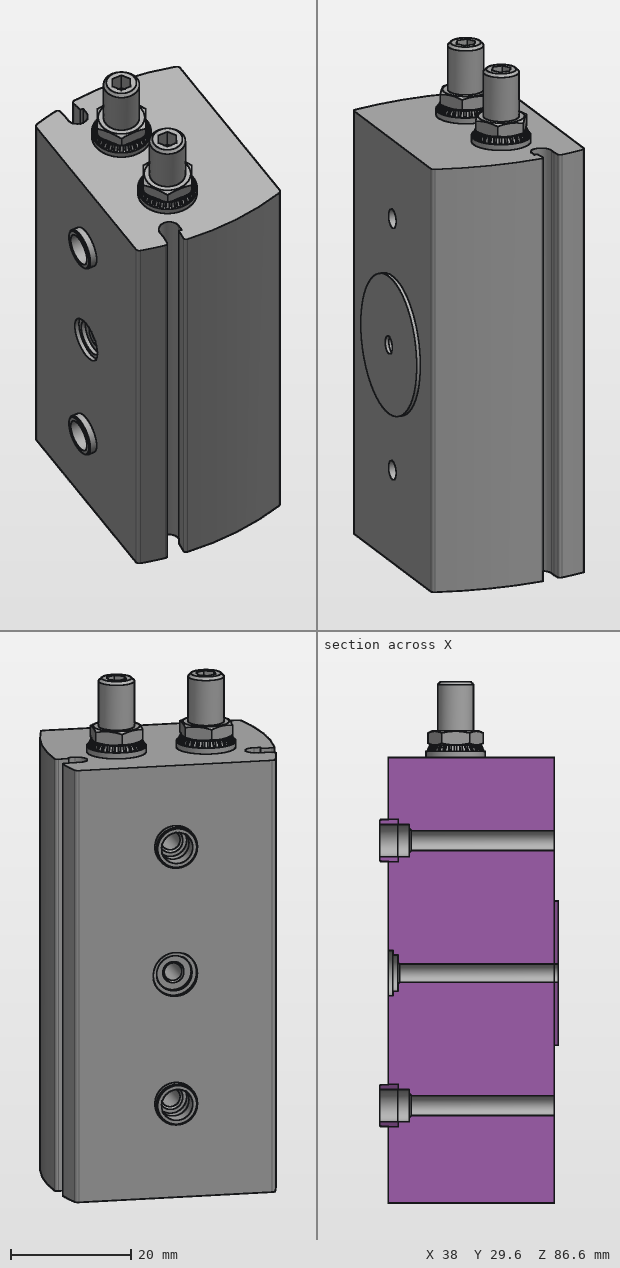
import cadquery as cq
import math


housing_length = 74.0
housing_depth = 27.6
housing_width = 37.97
side_radius = 46.8
edge_fillet = 0.7

slot_x = 15.2
slot_y = 7.15
slot_radius = 1.75
slot_neck_x = 16.3
slot_front_y = slot_y - slot_radius
slot_rear_y = slot_y + slot_radius
slot_rear_neck_y = 8.35
slot_rear_mouth_y = 7.9
slot_front_mouth_y = 5.05
slot_lip_fillet = 0.5
slot_lip_min_x = 17.5
slot_mouth_x = housing_width / 2 + 1.0

axis_z = 38.2
mount_spacing = 22.0
mount_z = (axis_z - mount_spacing, axis_z + mount_spacing)
mount_drill = 3.24
mount_chamfer_diameter = 4.0
mount_counterbore_depth = 3.5

axis_recess_diameter = 7.5
axis_recess_depth = 0.8
axis_step_diameter = 6.0
axis_step_depth = 1.6
axis_drill = 3.0
axis_chamfer_diameter = 3.6

sleeve_diameter = 7.0
sleeve_bore = 5.3
sleeve_length = 3.0
sleeve_protrusion = 1.4
sleeve_chamfer = 0.2

flange_diameter = 24.0
flange_thickness = 0.65

screw_spacing = 15.2
screw_y = 11.2
collar_diameter = 9.9
collar_height = 1.0
washer_base_diameter = 9.5
washer_top_diameter = 8.6
washer_height = 1.0
tooth_count = 30
tooth_gap_width = 0.4
tooth_gap_depth = 0.5
nut_across_flats = 8.0
nut_face_diameter = 7.7
nut_chamfer_height = 0.35
nut_height = 2.4
stud_diameter = 6.0
stud_chamfer = 0.5
stud_top = 12.6
socket_across_flats = 3.0
socket_depth = 3.0


def front_cylinder(diameter, start_y, end_y, z):
    """Cylinder along Y on the X = 0 plane."""
    return (
        cq.Workplane("XZ", origin=(0, start_y, z))
        .circle(diameter / 2)
        .extrude(start_y - end_y)
    )


def drill_with_chamfer(drill, chamfer_diameter, start_y, end_y, z):
    """Hole along Y whose front rim at start_y is countersunk at 45 degrees."""
    chamfer = (chamfer_diameter - drill) / 2
    profile = [
        (0, start_y),
        (chamfer_diameter / 2, start_y),
        (drill / 2, start_y + chamfer),
        (drill / 2, end_y),
        (0, end_y),
    ]
    return (
        cq.Workplane("XY")
        .polyline(profile)
        .close()
        .revolve(360, (0, 0, 0), (0, 1, 0))
        .translate((0, 0, z))
    )


def hexagonal_prism(across_flats, height, z):
    """Vertical hexagon with two corners on the Y direction."""
    corner_diameter = across_flats / math.cos(math.pi / 6)
    return (
        cq.Workplane("XY", origin=(0, 0, z))
        .transformed(rotate=(0, 0, 90))
        .polygon(6, corner_diameter)
        .extrude(height)
    )


def housing_block():
    half_width = housing_width / 2
    mid_y = housing_depth / 2
    side_sagitta = side_radius - math.sqrt(side_radius**2 - mid_y**2)
    corner_x = half_width - side_sagitta
    return (
        cq.Workplane("XY")
        .moveTo(-corner_x, 0)
        .lineTo(corner_x, 0)
        .threePointArc((half_width, mid_y), (corner_x, housing_depth))
        .lineTo(-corner_x, housing_depth)
        .threePointArc((-half_width, mid_y), (-corner_x, 0))
        .close()
        .extrude(housing_length)
        .edges("|Z")
        .fillet(edge_fillet)
    )


def sensor_slot():
    """Slot on the +X side."""
    return (
        cq.Workplane("XY")
        .moveTo(slot_x, slot_front_y)
        .threePointArc((slot_x - slot_radius, slot_y), (slot_x, slot_rear_y))
        .lineTo(slot_neck_x, slot_rear_y)
        .lineTo(slot_neck_x, slot_rear_neck_y)
        .lineTo(slot_mouth_x, slot_rear_mouth_y)
        .lineTo(slot_mouth_x, slot_front_mouth_y)
        .lineTo(slot_neck_x, slot_front_y)
        .close()
        .extrude(housing_length)
    )


def round_slot_lips(body, side):
    """Round the two outer edges of the slot mouth on one side of the housing."""
    lip_zone = cq.selectors.BoxSelector(
        (side * slot_lip_min_x, slot_front_y - slot_radius, 0),
        (side * slot_mouth_x, slot_rear_y + slot_radius, housing_length),
    )
    return body.edges("|Z").edges(lip_zone).fillet(slot_lip_fillet)


def toothed_washer(z):
    """Conical washer with radial gaps cut into its rim."""
    cone = cq.Workplane(
        cq.Solid.makeCone(washer_base_diameter / 2, washer_top_diameter / 2, washer_height)
    )
    gaps = (
        cq.Workplane("XY")
        .polarArray(washer_base_diameter / 2, 0, 360, tooth_count)
        .rect(2 * tooth_gap_depth, tooth_gap_width)
        .extrude(washer_height)
    )
    return cone.cut(gaps).translate((0, 0, z))


def nut(z):
    """Hexagon nut with the corners of both end faces chamfered."""
    corner_diameter = nut_across_flats / math.cos(math.pi / 6)
    crown = (
        cq.Workplane("XY", origin=(0, 0, z))
        .circle(corner_diameter / 2)
        .extrude(nut_height)
        .faces("<Z or >Z")
        .chamfer(nut_chamfer_height, (corner_diameter - nut_face_diameter) / 2)
    )
    return hexagonal_prism(nut_across_flats, nut_height, z).intersect(crown)


def stop_screw():
    """Stop screw standing on Z = 0."""
    collar = cq.Workplane("XY").circle(collar_diameter / 2).extrude(collar_height)
    stud = (
        cq.Workplane("XY")
        .circle(stud_diameter / 2)
        .extrude(stud_top)
        .faces(">Z")
        .chamfer(stud_chamfer)
    )
    screw = collar.union(toothed_washer(collar_height))
    screw = screw.union(nut(collar_height + washer_height))
    screw = screw.union(stud)
    return screw.cut(hexagonal_prism(socket_across_flats, socket_depth, stud_top - socket_depth))


def build_housing():
    body = housing_block()
    slot = sensor_slot()
    body = body.cut(slot).cut(slot.mirror("YZ"))
    for side in (-1, 1):
        body = round_slot_lips(body, side)

    sleeve_seat_depth = sleeve_length - sleeve_protrusion
    for z in mount_z:
        body = body.cut(front_cylinder(sleeve_diameter, 0, sleeve_seat_depth, z))
        body = body.cut(front_cylinder(sleeve_bore, 0, mount_counterbore_depth, z))
        body = body.cut(
            drill_with_chamfer(
                mount_drill, mount_chamfer_diameter, mount_counterbore_depth, housing_depth, z
            )
        )

    body = body.cut(front_cylinder(axis_recess_diameter, 0, axis_recess_depth, axis_z))
    body = body.cut(front_cylinder(axis_step_diameter, 0, axis_step_depth, axis_z))
    body = body.cut(
        drill_with_chamfer(axis_drill, axis_chamfer_diameter, axis_step_depth, housing_depth, axis_z)
    )

    for side in (-1, 1):
        body = body.union(
            stop_screw().translate((side * screw_spacing / 2, screw_y, housing_length))
        )
    return body


def build_flange():
    rear_y = housing_depth + flange_thickness
    disc = front_cylinder(flange_diameter, housing_depth, rear_y, axis_z)
    return disc.cut(front_cylinder(axis_drill, housing_depth, rear_y, axis_z))


def build_sleeve(z):
    front_y = -sleeve_protrusion
    rear_y = front_y + sleeve_length
    ring = front_cylinder(sleeve_diameter, front_y, rear_y, z).faces("<Y").chamfer(sleeve_chamfer)
    return ring.cut(front_cylinder(sleeve_bore, front_y, rear_y, z))


housing = build_housing()
flange = build_flange()
sleeves = [build_sleeve(z) for z in mount_z]

result = cq.Compound.makeCompound(
    [housing.val(), flange.val(), *[sleeve.val() for sleeve in sleeves]]
)